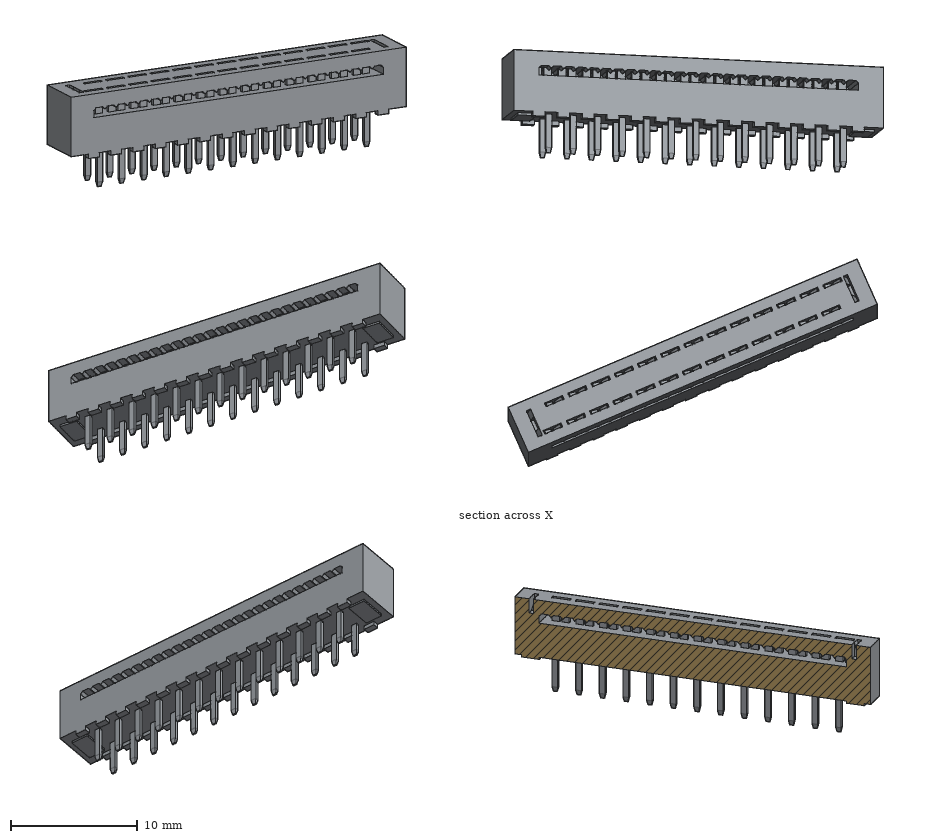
import cadquery as cq

LENGTH = 30.1
WIDTH = 4.0
HEIGHT = 4.9
TOTAL_HEIGHT = 8.0

WIRE_PITCH = LENGTH / 30.1
FORKS_PER_ROW = 13
FORK_PITCH = 2 * WIRE_PITCH
ROW_X = WIRE_PITCH
STAGGER = WIRE_PITCH / 2
WIRE_COUNT = 2 * FORKS_PER_ROW
CONTACT_THICKNESS = 0.3
CONTACT_SPAN = 2 * ROW_X + CONTACT_THICKNESS

SLIT_LENGTH = WIRE_COUNT * WIRE_PITCH
SLIT_TOP = -1.17
SLIT_FLOOR = -1.95
TOOTH_HEIGHT = 0.2

SLOT_LENGTH = 1.55
FORK_TOP = -0.25
FORK_WIDTH = 1.45
FORK_TIP_WIDTH = 1.32
FORK_TAPER_Z = -0.55
FORK_THROAT_Z = -0.65
FORK_GAP = 0.18

LATCH_INSET = 1.2
LATCH_WIDTH = 0.35
LATCH_DEPTH = 1.2
LATCH_TONGUE = 1.0

PAD_INSET = 0.55
PAD_LENGTH = 1.5
PAD_HEIGHT = 0.18
FOOT_LENGTH = 0.95
FOOT_WIDTH = 0.5
FOOT_HEIGHT = 0.35

PIN_WIDTH = 0.48
PIN_TIP_WIDTH = 0.3
PIN_TIP_THICKNESS = 0.12
PIN_TIP_LENGTH = 0.42


def box(size_x, size_y, bottom, top, x=0.0, y=0.0):
    """Upright block centred on (x, y) between two heights."""
    block = cq.Workplane("XY").box(size_x, size_y, top - bottom, centered=(True, True, False))
    return block.translate((x, y, bottom))


def extrude_x(points, thickness):
    """Closed (Y, Z) outline extruded along X, centred on X = 0."""
    return cq.Workplane("YZ").polyline(points).close().extrude(thickness / 2, both=True)


def row_positions(count, pitch):
    """Evenly spaced positions centred on zero."""
    return [(i - (count - 1) / 2) * pitch for i in range(count)]


def cable_slit():
    """Slit along X whose roof has a pointed tooth between neighbouring wires."""
    half = SLIT_LENGTH / 2
    tooth_root = SLIT_TOP - TOOTH_HEIGHT
    outline = [(half, SLIT_FLOOR), (-half, SLIT_FLOOR)]
    for y in row_positions(WIRE_COUNT, WIRE_PITCH):
        outline += [
            (y - WIRE_PITCH / 2, tooth_root),
            (y - WIRE_PITCH / 2 + TOOTH_HEIGHT, SLIT_TOP),
            (y + WIRE_PITCH / 2 - TOOTH_HEIGHT, SLIT_TOP),
        ]
    outline.append((half, tooth_root))
    return extrude_x(outline, WIDTH)


def fork(x, y):
    """Two-pronged contact with a V mouth leading into a narrow wire gap."""
    half_outline = [
        (FORK_WIDTH / 2, SLIT_FLOOR),
        (FORK_WIDTH / 2, FORK_TAPER_Z),
        (FORK_TIP_WIDTH / 2, FORK_TOP),
        (FORK_GAP / 2, FORK_THROAT_Z),
        (FORK_GAP / 2, SLIT_FLOOR),
    ]
    prong = extrude_x(half_outline, CONTACT_THICKNESS)
    both_prongs = prong.add(prong.mirror("XZ")).combine()
    return both_prongs.translate((x, y, 0))


def latch_pocket():
    """Pocket at the +Y end; its floor rises inward on both sides of the flat middle."""
    outer = LENGTH / 2 - LATCH_INSET
    inner = outer - LATCH_WIDTH
    ramp_outline = [(outer, -LATCH_DEPTH), (outer, 0), (inner, 0)]
    ramps = extrude_x(ramp_outline, CONTACT_SPAN)
    middle = box(LATCH_TONGUE, LATCH_WIDTH, -LATCH_DEPTH, 0, y=(outer + inner) / 2)
    return ramps.union(middle)


def pin(x, y):
    """Flat solder pin with a tapered tip."""
    tip_start = -TOTAL_HEIGHT + PIN_TIP_LENGTH
    shank = box(CONTACT_THICKNESS, PIN_WIDTH, tip_start, -HEIGHT)
    tip = (
        cq.Workplane("XY", origin=(0, 0, tip_start))
        .rect(CONTACT_THICKNESS, PIN_WIDTH)
        .workplane(offset=-PIN_TIP_LENGTH)
        .rect(PIN_TIP_THICKNESS, PIN_TIP_WIDTH)
        .loft(ruled=True)
    )
    return shank.union(tip).translate((x, y, 0))


body = box(WIDTH, LENGTH, -HEIGHT, 0).cut(cable_slit())
pocket = latch_pocket()
body = body.cut(pocket).cut(pocket.mirror("XZ"))

contacts = cq.Workplane("XY")
slots = cq.Workplane("XY")
for side in (-1, 1):
    for y in row_positions(FORKS_PER_ROW, FORK_PITCH):
        fork_y = y - side * STAGGER
        slots.add(box(CONTACT_THICKNESS, SLOT_LENGTH, SLIT_FLOOR, 0, side * ROW_X, fork_y))
        contacts.add(fork(side * ROW_X, fork_y))
        contacts.add(pin(side * ROW_X, y))
body = body.cut(slots.combine())

supports = cq.Workplane("XY")
pad_y = (LENGTH - PAD_LENGTH) / 2 - PAD_INSET
for y in (-pad_y, pad_y):
    supports.add(box(CONTACT_SPAN, PAD_LENGTH, -HEIGHT - PAD_HEIGHT, -HEIGHT, y=y))
foot_x = (WIDTH - FOOT_WIDTH) / 2
for x in (-foot_x, foot_x):
    for y in row_positions(FORKS_PER_ROW + 1, FORK_PITCH):
        supports.add(box(FOOT_WIDTH, FOOT_LENGTH, -HEIGHT - FOOT_HEIGHT, -HEIGHT, x, y))

result = body.union(supports.combine()).union(contacts.combine())